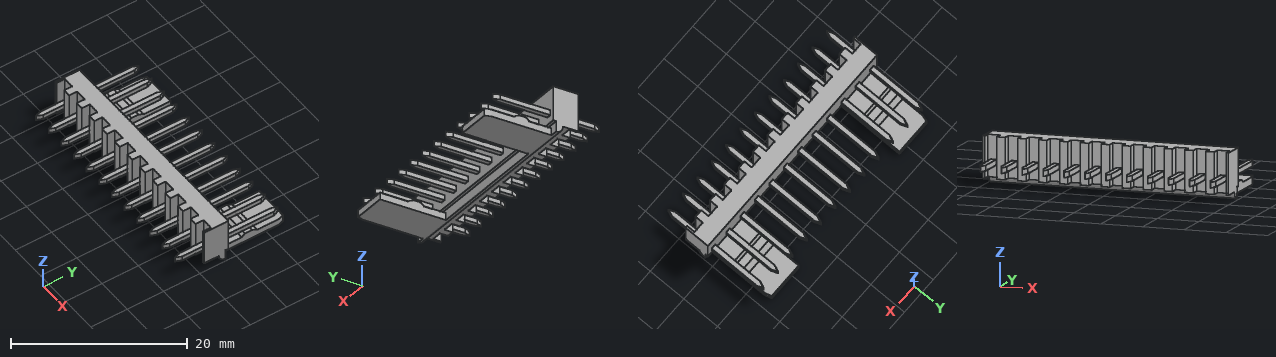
import cadquery as cq


length = 29.5
depth = 3.33
height = 5.8
end_wall = 0.27
rib_width = 1.0
pocket_depth = 1.1

lip_height = 0.9
lip_back = 0.38
notch_height = 1.35

pin_count = 12
pitch = 2.5
pin_size = 0.65
pin_z = 2.65
pin_back = 7.5
pin_front = 6.7
tip_length = 0.8

tab_back = 8.4
tab_pitches = 2
tab_inset = 0.05
tab_corner_x = 0.25
tab_corner_y = 0.8
bump_height = 0.35
bump_foot_near = 2.55
bump_top_near = 2.98
bump_top_far = 3.95
bump_foot_far = 4.65

first_pin_x = -(pin_count - 1) * pitch / 2
pin_positions = [first_pin_x + i * pitch for i in range(pin_count)]
rib_positions = [x + pitch / 2 for x in pin_positions[:-1]]


def make_housing():
    """Solid bar with a notch low on the back and a quarter-round lip below."""
    profile = (
        cq.Workplane("YZ")
        .moveTo(0, height)
        .lineTo(-depth, height)
        .lineTo(-depth, lip_height)
        .lineTo(-lip_back - lip_height, lip_height)
        .radiusArc((-lip_back, 0), -lip_height)
        .lineTo(-lip_back, notch_height)
        .lineTo(0, notch_height)
        .close()
    )
    return profile.extrude(length / 2, both=True)


def make_front_pockets():
    """Front recess between the end walls, divided by a rib between neighbouring pins."""
    front_y = -depth + pocket_depth / 2
    middle_z = height / 2
    recess = cq.Workplane("XY").box(length - 2 * end_wall, pocket_depth, height)
    recess = recess.translate((0, front_y, middle_z))
    for x in rib_positions:
        rib = cq.Workplane("XY").box(rib_width, pocket_depth, height)
        recess = recess.cut(rib.translate((x, front_y, middle_z)))
    return recess


def make_pin(x):
    """Square pin with both ends sharpened to an upright edge."""
    half = pin_size / 2
    outline = [
        (x, pin_back),
        (x + half, pin_back - tip_length),
        (x + half, -pin_front + tip_length),
        (x, -pin_front),
        (x - half, -pin_front + tip_length),
        (x - half, pin_back - tip_length),
    ]
    base = cq.Workplane("XY").workplane(offset=pin_z - half)
    return base.polyline(outline).close().extrude(pin_size)


def make_left_tab():
    """Tab below the first three pins, with a latching bump and a clipped outer corner."""
    outer_x = first_pin_x + tab_inset
    side_profile = [
        (-lip_back, 0),
        (tab_back, 0),
        (tab_back, lip_height),
        (bump_foot_far, lip_height),
        (bump_top_far, lip_height + bump_height),
        (bump_top_near, lip_height + bump_height),
        (bump_foot_near, lip_height),
        (-lip_back, lip_height),
    ]
    tab = cq.Workplane("YZ").workplane(offset=outer_x).polyline(side_profile).close()
    tab = tab.extrude(tab_pitches * pitch - tab_inset)
    corner = [
        (outer_x, tab_back),
        (outer_x + tab_corner_x, tab_back),
        (outer_x, tab_back - tab_corner_y),
    ]
    return tab.cut(cq.Workplane("XY").polyline(corner).close().extrude(lip_height))


left_tab = make_left_tab()
result = make_housing().cut(make_front_pockets())
result = result.union(left_tab).union(left_tab.mirror("YZ"))
for pin_x in pin_positions:
    result = result.union(make_pin(pin_x))